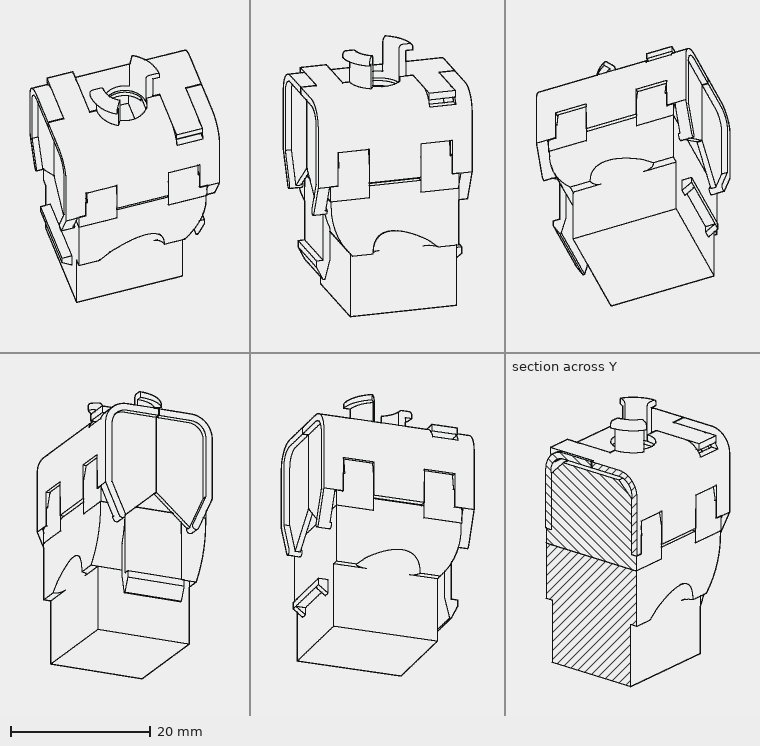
import cadquery as cq
import math

total_height = 38.1

cover_width = 16.95
cover_length = 23.2
cover_top = 33.22
cover_bottom = 20.7
cover_wall = 1.03
cover_corner = 3.35
seam_gap = 0.1

leg_angle = 24.5
leg_length = 5.22
leg_depth = 1.7
leg_lip = 0.25
leg_lip_length = 0.42
panel_recess = 0.9

tongue_near = 5.3
tongue_far = 9.22
tongue_reach = 7.9
tongue_slot_bottom = 31.2

window_near = 3.9
window_far = 8.6
window_top = 25.85

hole_radius = 3.25
clip_radius = 4.25
flange_radius = 5.3
flange_height = 1.03
flange_round = flange_height / 2
clip_sweep = 60.0

cap_top = 31.78
cap_bottom = 18.35
cap_length = 19.35
cap_shift = 0.057
cap_chamfer = 2.3
cap_core_length = 16.23
cap_end_drop = 0.08
tower_shoulder = 23.47
ramp_far = 8.4
ramp_inset = 0.42
cap_plate = 0.75
cap_slot_width = 5.85

body_width = 16.73
body_length = 19.25
body_bottom = 9.68
body_centre_top = 20.2
body_curve_top = 17.53
plug_width = 14.5
plug_back = 6.4

scoop_back = (3.3, 9.68)
scoop_crest = (0.7, 12.9)
scoop_slope = (-4.55, 11.2)
scoop_front = (-6.5, 9.68)
scoop_front_run = (-1.0, -0.85)
scoop_run_out = 3.05
scoop_cove = 1.25
scoop_overshoot = 0.4

catch_top = 8.05
catch_lip = 1.0
ridge_width = 10.1
ridge_reach = 1.5
ridge_foot = 1.1
ridge_foot_bottom = 5.95
latch_width = 8.95
latch_thickness = 1.03
latch_reach = 1.0
latch_tip_width = 0.25
latch_tip = 5.05

cover_x = cover_width / 2
cover_y = cover_length / 2
inner_x = cover_x - cover_wall
roof = cover_top - cover_wall
corner_x = cover_x - cover_corner
corner_z = cover_top - cover_corner
inner_corner = cover_corner - cover_wall
seam_x = seam_gap / 2
leg_y = cover_y - leg_depth
leg_sin = math.sin(math.radians(leg_angle))
leg_cos = math.cos(math.radians(leg_angle))
leg_bend_z = cover_bottom + cover_wall * math.tan(math.radians(leg_angle / 2))
body_x = body_width / 2
body_y = body_length / 2
plug_x = plug_width / 2
cos45 = math.cos(math.radians(45))


def box(x0, x1, y0, y1, z0, z1):
    """Block between the given limits on each axis."""
    return cq.Workplane("XY").box(x1 - x0, y1 - y0, z1 - z0, centered=False).translate((x0, y0, z0))


def along_y(outline, y0, y1):
    """Extrude a closed XZ outline from y0 to y1."""
    return outline.extrude(y0 - y1).translate((0, y0, 0))


def half_turn(shape):
    """Copy of a shape turned 180 degrees about the Z axis."""
    return shape.rotate((0, 0, 0), (0, 0, 1), 180)


def corner_middle(radius):
    """Middle point of the cover's upper corner arc with the given radius."""
    return corner_x + radius * cos45, corner_z + radius * cos45


def leg_point(distance, depth):
    """Point on a leg: distance down from the bend, depth in from its outer face."""
    return (
        cover_x - distance * leg_sin - depth * leg_cos,
        cover_bottom - distance * leg_cos + depth * leg_sin,
    )


def leg_end(start, y0, y1):
    """Lower stretch of a leg from a given distance down to its round tip."""
    tip = leg_point(leg_length + cover_wall / 2, cover_wall / 2)
    outline = (
        cq.Workplane("XZ").moveTo(*leg_point(start, 0)).lineTo(*leg_point(leg_length, 0))
        .threePointArc(tip, leg_point(leg_length, cover_wall)).lineTo(*leg_point(start, cover_wall)).close()
    )
    return along_y(outline, y0, y1)


def cover_shell():
    """Roof, rounded corner and side wall of the +X cover."""
    outline = (
        cq.Workplane("XZ").moveTo(seam_x, cover_top).lineTo(corner_x, cover_top)
        .threePointArc(corner_middle(cover_corner), (cover_x, corner_z))
        .lineTo(cover_x, cover_bottom).lineTo(inner_x, cover_bottom).lineTo(inner_x, corner_z)
        .threePointArc(corner_middle(inner_corner), (corner_x, roof))
        .lineTo(seam_x, roof).close()
    )
    return along_y(outline, -cover_y, cover_y)


def cover_end():
    """Legs and recessed end panel at the -Y end."""
    bend = (
        cq.Workplane("XZ").moveTo(inner_x, leg_bend_z).lineTo(cover_x, leg_bend_z)
        .lineTo(cover_x, cover_bottom).close()
    )
    leg = leg_end(0, -cover_y, -leg_y).union(along_y(bend, -cover_y, -leg_y))
    lip = leg_end(leg_length - leg_lip_length, -leg_y, -leg_y + leg_lip)
    tip_x, tip_z = leg_point(leg_length, cover_wall / 2)
    panel = (
        cq.Workplane("XZ").moveTo(seam_x, roof).lineTo(corner_x, roof)
        .threePointArc(corner_middle(inner_corner), (inner_x, corner_z))
        .lineTo(inner_x, leg_bend_z).lineTo(*leg_point(leg_length, cover_wall))
        .lineTo(tip_x - cover_wall / 2, tip_z).lineTo(seam_x, cover_bottom).close()
    )
    return leg.union(lip).union(along_y(panel, -cover_y + panel_recess, -leg_y))


def clip_arm():
    """Hooked arm on the rim of the hole, from the seam round to clip_sweep."""
    flange_bottom = total_height - flange_height
    profile = (
        cq.Workplane("XZ").moveTo(hole_radius, roof).lineTo(clip_radius, roof)
        .lineTo(clip_radius, flange_bottom).lineTo(flange_radius, flange_bottom)
        .lineTo(flange_radius, total_height).lineTo(hole_radius, total_height).close()
    )
    arm = profile.revolve(clip_sweep, (0, 0, 0), (0, 1, 0))
    arm = arm.faces(">Z").edges("%CIRCLE").fillet(flange_round)
    arm = arm.rotate((0, 0, 0), (0, 0, 1), -90)
    return arm.intersect(box(seam_x, cover_x, -cover_y, cover_y, 0, total_height))


def make_cover():
    """Cover half on the +X side."""
    cover = cover_shell()
    end = cover_end()
    cover = cover.union(end).union(end.mirror("XZ"))
    for y0, y1 in ((-window_far, -window_near), (window_near, window_far)):
        cover = cover.cut(box(inner_x, cover_x, y0, y1, cover_bottom, window_top))
    cover = cover.cut(box(0, cover_x, tongue_near, tongue_far, tongue_slot_bottom, cover_top))
    cover = cover.union(box(-tongue_reach, corner_x, -tongue_far, -tongue_near, roof, cover_top))
    cover = cover.cut(cq.Workplane("XY").circle(hole_radius).extrude(total_height))
    return cover.union(clip_arm())


def tower_ramps(y0, y1):
    """Tower tops on both sides, sloping inward to the top of the windows."""
    ramp_top_x = body_x - ramp_inset
    outline = (
        cq.Workplane("XZ").moveTo(-body_x, tower_shoulder).lineTo(-ramp_top_x, window_top)
        .lineTo(ramp_top_x, window_top).lineTo(body_x, tower_shoulder).close()
    )
    return along_y(outline, y0, y1)


def make_cap():
    """Cap that stands on the housing and fills the space inside the covers."""
    y0 = cap_shift - cap_length / 2
    y1 = cap_shift + cap_length / 2
    cap = box(-body_x, body_x, y0, y1, cap_bottom, cover_bottom)
    cap = cap.union(box(-inner_x, inner_x, y0, y1, cap_bottom, tower_shoulder))
    cap = cap.cut(box(-body_x, body_x, -window_near, window_near, cap_bottom, body_centre_top))
    for x0, x1 in ((-body_x, -inner_x), (inner_x, body_x)):
        cap = cap.cut(box(x0, x1, -window_near, window_near, cap_bottom, cover_bottom))

    core = box(-inner_x, inner_x, -cap_core_length / 2, cap_core_length / 2, cover_bottom, cap_top)
    core_ends = box(-inner_x, inner_x, y0, y1, cover_bottom, cap_top - cap_end_drop)
    for part in (core_ends, core):
        cap = cap.union(part.edges("|Y and >Z").chamfer(cap_chamfer))

    for side in (-1, 1):
        near, far = sorted((side * window_near, side * window_far))
        cap = cap.union(box(-body_x, body_x, near, far, cover_bottom, tower_shoulder))
        near, far = sorted((side * window_near, side * ramp_far + cap_shift))
        cap = cap.union(tower_ramps(near, far))

    slot_y = cap_slot_width / 2
    slot = box(-inner_x, inner_x, -slot_y, slot_y, tower_shoulder, cap_top - cap_plate)
    hole_flats = box(-hole_radius, hole_radius, -slot_y, slot_y, tower_shoulder, cap_top)
    hole = cq.Workplane("XY").circle(hole_radius).extrude(total_height).intersect(hole_flats)
    return cap.cut(slot).cut(hole)


def side_scoop():
    """Cutter for the coved scoop in the +X side, flush with the plug at its floor."""
    outline = (
        cq.Workplane("YZ").moveTo(scoop_back[0], 0).lineTo(*scoop_back)
        .spline([scoop_back, scoop_crest, scoop_slope, scoop_front], tangents=[(0, 1), scoop_front_run])
        .line(scoop_run_out * scoop_front_run[0], scoop_run_out * scoop_front_run[1])
        .lineTo(scoop_front[0] - scoop_run_out, 0).close()
    )
    cutter = outline.extrude(body_x - plug_x + scoop_overshoot).translate((plug_x, 0, 0))
    return cutter.faces("<X").edges().fillet(scoop_cove)


def front_ridge():
    """Catch bar on the -Y face with a gusset under each end."""
    bar_bottom = catch_top - catch_lip
    front = -body_y - ridge_reach
    half = ridge_width / 2
    ridge = box(-half, half, front, -body_y, bar_bottom, catch_top)
    gusset = (
        cq.Workplane("YZ").moveTo(front, bar_bottom).lineTo(-body_y, bar_bottom)
        .lineTo(-body_y, ridge_foot_bottom).close().extrude(ridge_foot)
    )
    for x0 in (-half, half - ridge_foot):
        ridge = ridge.union(gusset.translate((x0, 0, 0)))
    return ridge


def rear_latch():
    """Hooked spring arm hanging down at the back."""
    inner_y = body_y - latch_thickness
    outline = (
        cq.Workplane("YZ").moveTo(inner_y, body_curve_top).lineTo(inner_y, catch_top)
        .lineTo(body_y - latch_tip_width, latch_tip).lineTo(body_y, latch_tip)
        .lineTo(body_y + latch_reach, catch_top - catch_lip).lineTo(body_y + latch_reach, catch_top)
        .lineTo(body_y, catch_top).lineTo(body_y, body_curve_top).close()
    )
    return outline.extrude(latch_width / 2, both=True)


def make_housing():
    """Wide body with a curved back, standing on the narrower plug."""
    body = (
        cq.Workplane("YZ").moveTo(-body_y, body_bottom).lineTo(-body_y, cap_bottom)
        .lineTo(-window_near, cap_bottom).lineTo(-window_near, body_centre_top)
        .lineTo(window_near, body_centre_top).lineTo(window_near, cap_bottom)
        .lineTo(body_y, cap_bottom).lineTo(body_y, body_curve_top)
        .tangentArcPoint((plug_back, body_bottom), relative=False).close()
        .extrude(body_x, both=True)
    )
    scoop = side_scoop()
    body = body.cut(scoop).cut(scoop.mirror("YZ"))
    plug = box(-plug_x, plug_x, -body_y, plug_back, 0, body_bottom)
    return body.union(plug).union(front_ridge()).union(rear_latch())


housing = make_housing()
cap = make_cap()
cover = make_cover()
covers = [cover, half_turn(cover)]

result = cq.Compound.makeCompound([housing.val(), cap.val(), *[half.val() for half in covers]])